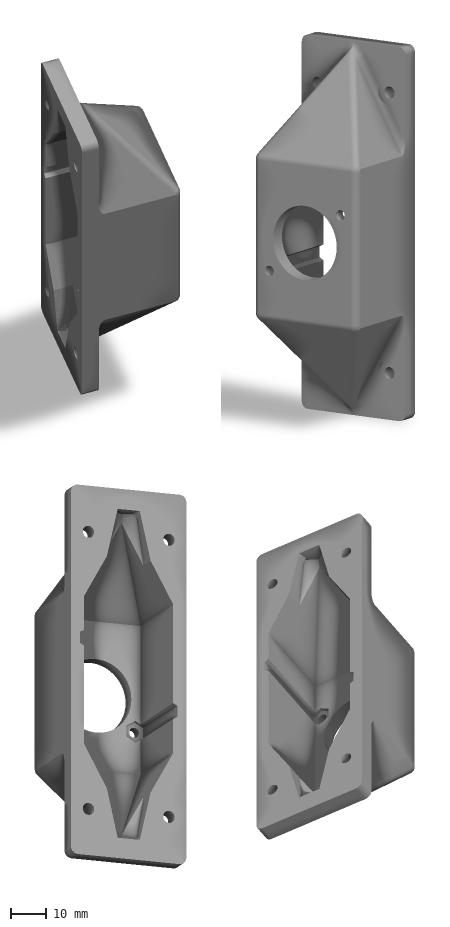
import cadquery as cq
import math

plate_width = 35.0
plate_height = 108.0
plate_thickness = 5.1
corner_radius = 2.0
screw_x, screw_z = 12.2, 40.5
screw_diameter = 3.5
screw_head_diameter = 7.3

housing_depth = 30.0
housing_half_height = 23.0
housing_tip_z = 53.0
housing_tip_y = 5.6
edge_radius = 2.0
base_radius = 1.9

cavity_half_width = 13.5
cavity_half_height = 21.7
cavity_floor_y = 25.5
cavity_tip_z = 45.7
cavity_tip_y = 5.7

cavity_wall_slope = (cavity_tip_z - cavity_half_height) / cavity_half_width

pocket_end_z = 48.1
pocket_end_half_width = 3.3
pocket_start_z = 33.9
pocket_start_half_width = (cavity_tip_z - pocket_start_z) / cavity_wall_slope
pocket_valley_slope = 0.32
corner_inset = 0.8
corner_length = 1.7
corner_depth = 2.6

opening_diameter = 21.5
nut_x, nut_z = 12.0, 9.4
nut_hole_diameter = 2.9
nut_flats = 5.5
nut_seat_depth = 1.1

SIDES = (-1, 1)


def front_plane(y):
    """Sketch plane at depth y, with local axes X, Z and extrusion towards +Y."""
    return cq.Workplane(cq.Plane(origin=(0, y, 0), xDir=(1, 0, 0), normal=(0, -1, 0)))


def rounded_plate(depth):
    """Plate outline with rounded corners, extruded to the given depth."""
    outline = front_plane(0).rect(plate_width, plate_height).extrude(-depth)
    return outline.edges("|Y").fillet(corner_radius)


def pointed_box(half_width, half_height, tip_z, tip_y, start_y, end_y):
    """Hexagonal prism whose ends slope from the tips up to the level end face."""
    plan = [
        (half_width, -half_height), (half_width, half_height), (0, tip_z),
        (-half_width, half_height), (-half_width, -half_height), (0, -tip_z),
    ]
    prism = front_plane(start_y).polyline(plan).close().extrude(start_y - end_y)
    profile = [
        (start_y, -tip_z), (tip_y, -tip_z), (end_y, -half_height),
        (end_y, half_height), (tip_y, tip_z), (start_y, tip_z),
    ]
    slopes = cq.Workplane("YZ").polyline(profile).close().extrude(half_width, both=True)
    return prism.intersect(slopes)


def housing():
    """Solid housing with its sloped ends and long back edges rounded."""
    body = pointed_box(
        plate_width / 2, housing_half_height, housing_tip_z, housing_tip_y, 0, housing_depth
    )
    sloped_ends = body.faces("not(#Y or |Y)")
    outer_edges = sloped_ends.edges().vals() + body.faces(">Y").edges("|Z").vals()
    return body.newObject(outer_edges).fillet(edge_radius)


def polyhedron(faces):
    """Solid bounded by flat faces, each given by its corner points."""
    panels = [cq.Face.makeFromWires(cq.Wire.makePolygon(face, close=True)) for face in faces]
    return cq.Workplane(cq.Solid.makeSolid(cq.Shell.makeShell(panels)))


def pocket_corner(side):
    """Small sloping wedge left standing in one end corner of the pocket."""
    mouth = cq.Vector(side * pocket_end_half_width, 0, pocket_end_z)
    inset = mouth + cq.Vector(-side * corner_inset, corner_depth, 0)
    outer = mouth + cq.Vector(side * corner_inset, corner_depth, 0)
    wall_lean = (pocket_start_half_width - pocket_end_half_width) / (pocket_end_z - pocket_start_z)
    lower = mouth + cq.Vector(side * corner_length * wall_lean, corner_depth, -corner_length)
    return polyhedron([
        (mouth, inset, outer), (mouth, outer, lower), (mouth, lower, inset), (inset, lower, outer),
    ])


def end_pocket():
    """Tapered pocket beyond the upper cavity tip."""
    trapezoid = [
        (-pocket_start_half_width, pocket_start_z), (pocket_start_half_width, pocket_start_z),
        (pocket_end_half_width, pocket_end_z), (-pocket_end_half_width, pocket_end_z),
    ]
    pocket = front_plane(0).polyline(trapezoid).close().extrude(-cavity_tip_y)

    def v_outline(tip_z):
        """Triangle with the given tip and the same taper as the cavity end."""
        base = tip_z / cavity_wall_slope
        return [(-base, 0), (base, 0), (0, tip_z)]

    mouth_tip_z = cavity_tip_z + cavity_tip_y / pocket_valley_slope
    v_floor = (
        front_plane(0).polyline(v_outline(mouth_tip_z)).close()
        .workplane(offset=-cavity_tip_y).polyline(v_outline(cavity_tip_z)).close()
        .loft(ruled=True)
    )
    pocket = pocket.intersect(v_floor)
    for side in SIDES:
        pocket = pocket.cut(pocket_corner(side))
    return pocket


body = housing()
base = front_plane(0).rect(2 * plate_width, 2 * plate_height).extrude(-plate_thickness)
body = base.union(body)
selection_gap = 0.01
base_edges = cq.selectors.BoxSelector(
    (-plate_width / 2 - selection_gap, plate_thickness - selection_gap, -plate_height / 2),
    (plate_width / 2 + selection_gap, plate_thickness + selection_gap, plate_height / 2),
)
body = body.edges(base_edges).fillet(base_radius)
body = body.intersect(rounded_plate(housing_depth))

body = body.cut(pointed_box(
    cavity_half_width, cavity_half_height, cavity_tip_z, cavity_tip_y, 0, cavity_floor_y
))
upper_pocket = end_pocket()
body = body.cut(upper_pocket).cut(upper_pocket.mirror("XY"))

screw_points = [(x_side * screw_x, z_side * screw_z) for x_side in SIDES for z_side in SIDES]
body = body.cut(front_plane(0).pushPoints(screw_points).circle(screw_diameter / 2).extrude(-housing_depth))
body = body.cut(
    front_plane(plate_thickness).pushPoints(screw_points)
    .circle(screw_head_diameter / 2).extrude(-housing_depth)
)

body = body.cut(front_plane(0).circle(opening_diameter / 2).extrude(-housing_depth))
nut_step = math.pi / 3
nut_corner_radius = nut_flats / 2 / math.cos(nut_step / 2)
nut_outline = [
    (nut_corner_radius * math.sin(k * nut_step), nut_corner_radius * math.cos(k * nut_step))
    for k in range(6)
]
for side in SIDES:
    nut = front_plane(0).center(side * nut_x, -side * nut_z)
    body = body.cut(nut.circle(nut_hole_diameter / 2).extrude(-housing_depth))
    body = body.cut(nut.polyline(nut_outline).close().extrude(-(cavity_floor_y + nut_seat_depth)))

result = body